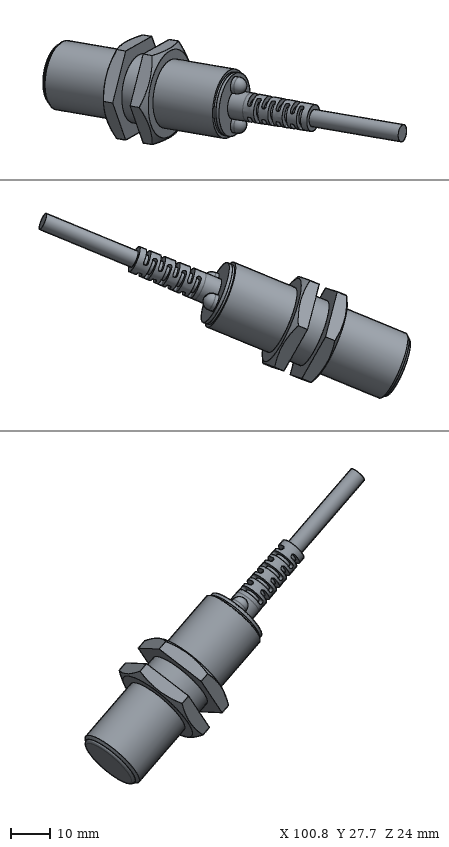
import cadquery as cq
import math


barrel_diameter = 18.0
barrel_start_x = 0.7
barrel_end_x = 50.3
barrel_mouth_diameter = 16.6
barrel_chamfer = (barrel_diameter - barrel_mouth_diameter) / 2
head_diameter = 16.4
head_edge_radius = 0.7

cap_diameter = barrel_mouth_diameter
cap_neck_diameter = 16.5
cap_neck_length = 0.6
cap_end_x = 51.8

nut_sides = 6
nut_across_flats = 24.0
nut_thickness = 4.0
nut_face_diameter = 23.0
nut_chamfer_angle = 30.0
front_nut_x = 19.8
rear_nut_x = 28.9

lamp_diameter = 4.5
lamp_offset = 5.25
lamp_dome_x = 52.8

cable_diameter = 4.5
cable_end_x = 100.8
relief_diameter = 7.5
relief_tip_diameter = 7.0
relief_taper_x = 56.2
relief_end_x = 74.8

slot_count = 8
slot_width = 1.2
slot_first_x = 57.9
slot_pitch = 2.07
slot_half_angle = 57.5


def rod(diameter, start_x, end_x, z=0.0):
    """Cylinder along X between two stations."""
    return cq.Workplane("YZ", origin=(start_x, 0, z)).circle(diameter / 2).extrude(end_x - start_x)


def revolve_about_x(stations):
    """Solid of revolution about X from (x, diameter) stations."""
    profile = [(stations[0][0], 0)]
    profile += [(x, diameter / 2) for x, diameter in stations]
    profile.append((stations[-1][0], 0))
    return cq.Workplane("XY").polyline(profile).close().revolve(360, (0, 0, 0), (1, 0, 0))


def make_barrel():
    """Barrel chamfered at the front, with a round-edged sensing head and a necked rear cap."""
    neck_end_x = barrel_end_x + cap_neck_length
    head = rod(head_diameter, 0, barrel_end_x).faces("<X").edges().fillet(head_edge_radius)
    sleeve = revolve_about_x([
        (barrel_start_x, barrel_mouth_diameter),
        (barrel_start_x + barrel_chamfer, barrel_diameter),
        (barrel_end_x, barrel_diameter),
    ])
    neck = rod(cap_neck_diameter, barrel_end_x, neck_end_x)
    cap = rod(cap_diameter, neck_end_x, cap_end_x)
    return sleeve.union(head).union(neck).union(cap)


def make_nut(start_x, chamfered_at_front):
    """Hexagonal nut with flats facing +Z and -Z and one conically chamfered face."""
    corner_diameter = nut_across_flats / math.cos(math.pi / nut_sides)
    chamfer_length = (corner_diameter - nut_face_diameter) / 2 * math.tan(math.radians(nut_chamfer_angle))
    end_x = start_x + nut_thickness
    if chamfered_at_front:
        envelope = revolve_about_x([
            (start_x, nut_face_diameter),
            (start_x + chamfer_length, corner_diameter),
            (end_x, corner_diameter),
        ])
    else:
        envelope = revolve_about_x([
            (start_x, corner_diameter),
            (end_x - chamfer_length, corner_diameter),
            (end_x, nut_face_diameter),
        ])
    hexagon = (
        cq.Workplane("YZ", origin=(start_x, 0, 0))
        .polygon(nut_sides, corner_diameter)
        .extrude(nut_thickness)
    )
    return hexagon.intersect(envelope)


def make_lamp(z):
    """Dome-ended indicator standing on the rear cap."""
    dome = cq.Workplane("XY", origin=(lamp_dome_x, 0, z)).sphere(lamp_diameter / 2)
    return rod(lamp_diameter, cap_end_x, lamp_dome_x, z=z).union(dome)


def make_slot(center_x, direction_angle):
    """Cutter for an arc slot around X, with rounded ends, centred on an angle from +Z."""
    reach = relief_diameter
    edge_y = reach * math.sin(math.radians(slot_half_angle))
    edge_z = reach * math.cos(math.radians(slot_half_angle))
    slot = (
        cq.Workplane("YZ", origin=(center_x - slot_width / 2, 0, 0))
        .moveTo(0, 0)
        .lineTo(edge_y, edge_z)
        .threePointArc((0, reach), (-edge_y, edge_z))
        .close()
        .extrude(slot_width)
    )
    for end_angle in (-slot_half_angle, slot_half_angle):
        rounded_end = cq.Workplane("XY", origin=(center_x, 0, 0)).circle(slot_width / 2).extrude(reach)
        slot = slot.union(rounded_end.rotate((0, 0, 0), (1, 0, 0), end_angle))
    return slot.rotate((0, 0, 0), (1, 0, 0), direction_angle)


def make_strain_relief():
    """Tapered sleeve with opposed slot pairs, alternately facing Z and Y."""
    relief = revolve_about_x([
        (cap_end_x, relief_diameter),
        (relief_taper_x, relief_diameter),
        (relief_end_x, relief_tip_diameter),
    ])
    for index in range(slot_count):
        center_x = slot_first_x + index * slot_pitch
        first_direction = 0 if index % 2 == 0 else 90
        for direction in (first_direction, first_direction + 180):
            relief = relief.cut(make_slot(center_x, direction))
    return relief


cable = rod(cable_diameter, cap_end_x, cable_end_x)

result = (
    make_barrel()
    .union(make_nut(front_nut_x, chamfered_at_front=True))
    .union(make_nut(rear_nut_x, chamfered_at_front=False))
    .union(make_strain_relief())
    .union(cable)
    .union(make_lamp(lamp_offset))
    .union(make_lamp(-lamp_offset))
)